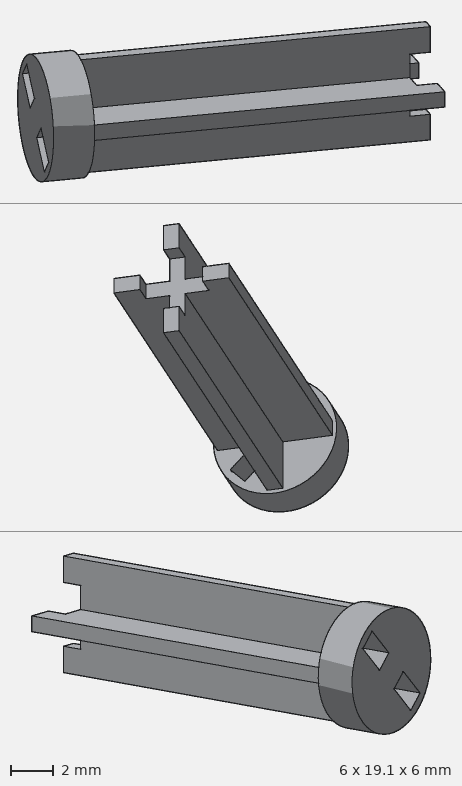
import cadquery as cq

head_diameter = 6.0
head_thickness = 2.0

total_length = 19.1
shank_length = total_length - head_thickness
shank_span = 5.6
web_thickness = 0.76

recess_span = 3.06
recess_depth = 1.0

slot_length = 1.8
slot_width = 1.0
slot_center_radius = 1.68
slot_angles = (-45.0, 135.0)


def section_at(y):
    """Workplane across the part at height y: local x is +Z, local y is +X, normal is +Y."""
    return cq.Workplane(cq.Plane(origin=(0, y, 0), xDir=(0, 0, 1), normal=(0, 1, 0)))


def make_head():
    head = section_at(0).circle(head_diameter / 2).extrude(head_thickness)
    for angle in slot_angles:
        slot = (
            section_at(0)
            .transformed(rotate=(0, 0, angle))
            .center(slot_center_radius, 0)
            .rect(slot_length, slot_width)
            .extrude(head_thickness)
        )
        head = head.cut(slot)
    return head


def make_shank():
    upright_web = section_at(head_thickness).rect(shank_span, web_thickness).extrude(shank_length)
    level_web = section_at(head_thickness).rect(web_thickness, shank_span).extrude(shank_length)
    recess = (
        section_at(total_length - recess_depth)
        .rect(recess_span, recess_span)
        .extrude(recess_depth)
    )
    return upright_web.union(level_web).cut(recess)


result = make_head().union(make_shank())